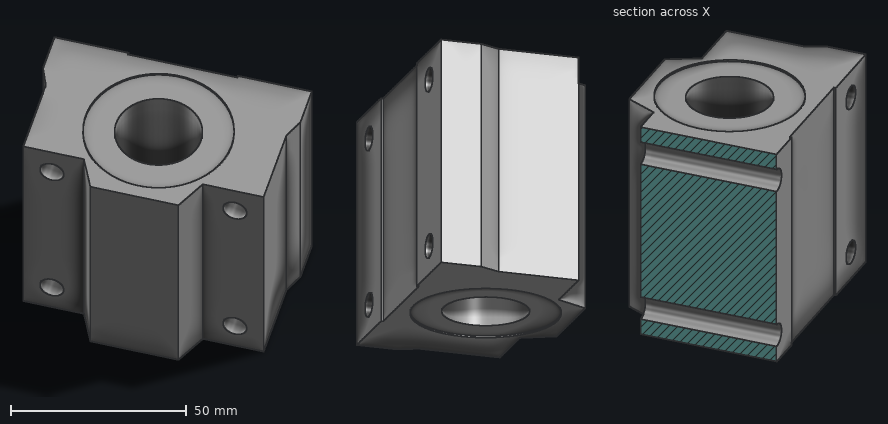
import cadquery as cq

WIDTH = 76.0
DEPTH = 51.5
HEIGHT = 67.0
BODY_WIDTH = 71.0
BODY_DEPTH = 42.0
SHOULDER_START = 12.0
SHOULDER_END = 18.0

RIDGE_BASE_WIDTH = 35.1
RIDGE_TIP_WIDTH = 26.0

RELIEF_WIDTH = 32.2
RELIEF_DEPTH = 0.6

BACK_TO_AXIS = 26.0
BORE_DIAMETER = 25.0
BEARING_DIAMETER = 43.0
BEARING_RECESS = 0.5

HOLE_DIAMETER = 7.0
HOLE_SPACING_X = 54.0
HOLE_SPACING_Z = 50.0

BACK_Y = BACK_TO_AXIS
FRONT_Y = BACK_Y - DEPTH
LEDGE_Y = BACK_Y - BODY_DEPTH


def make_block():
    """Extrude the mirrored cross-section, relief included."""
    right_side = [
        (RELIEF_WIDTH / 2, BACK_Y - RELIEF_DEPTH),
        (RELIEF_WIDTH / 2, BACK_Y),
        (WIDTH / 2, BACK_Y),
        (WIDTH / 2, BACK_Y - SHOULDER_START),
        (BODY_WIDTH / 2, BACK_Y - SHOULDER_END),
        (BODY_WIDTH / 2, LEDGE_Y),
        (RIDGE_BASE_WIDTH / 2, LEDGE_Y),
        (RIDGE_TIP_WIDTH / 2, FRONT_Y),
    ]
    left_side = [(-x, y) for x, y in reversed(right_side)]
    return cq.Workplane("XY").polyline(right_side + left_side).close().extrude(HEIGHT)


def cut_bearing(block):
    """Cut the through bore and the shallow recess at each end of the bearing."""
    bore = cq.Workplane("XY").circle(BORE_DIAMETER / 2).extrude(HEIGHT)
    recess = cq.Workplane("XY").circle(BEARING_DIAMETER / 2).extrude(BEARING_RECESS)
    top_recess = recess.translate((0, 0, HEIGHT - BEARING_RECESS))
    return block.cut(bore).cut(recess).cut(top_recess)


def cut_mounting_holes(block):
    """Drill the rectangle of four holes from the back face to the front ledges."""
    holes = (
        cq.Workplane("XZ", origin=(0, BACK_Y, HEIGHT / 2))
        .rarray(HOLE_SPACING_X, HOLE_SPACING_Z, 2, 2)
        .circle(HOLE_DIAMETER / 2)
        .extrude(BODY_DEPTH)
    )
    return block.cut(holes)


result = cut_mounting_holes(cut_bearing(make_block()))